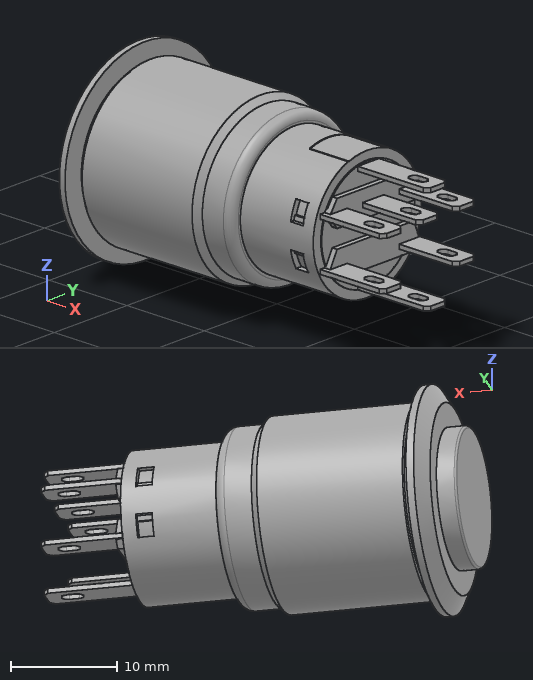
import cadquery as cq
import math

button_diameter = 13.6
button_fillet = 0.2
bezel_face_diameter = 18.3
bezel_diameter = 22.0
neck_diameter = 17.5
barrel_diameter = 18.9
rear_diameter = 14.9
base_disc_diameter = 12.8

bezel_face_x = 1.9
bezel_rim_x = 3.05
bezel_back_x = 3.8
barrel_front_x = 4.55
barrel_back_x = 18.7
neck_end_x = 23.1
rear_end_x = 32.5
neck_fillet = 1.0
barrel_taper = (barrel_diameter - neck_diameter) / 2
base_disc_thickness = 0.12

key_diameter = 14.75
key_front_x = 27.45
key_width = 5.15

window_front_x = 29.45
window_back_x = 31.05
window_top_z = 3.5
window_step_z = 1.9
window_bottom_z = 1.4
window_deep_diameter = 13.6
window_shallow_diameter = 14.0

bar_height = 0.75
bar_inner_z = 1.05
bar_outer_z = 4.08
bar_flat_min_y = -4.95
bar_flat_max_y = 5.57
bar_tip_min_y = -6.05
bar_tip_max_y = 6.45

overall_length = 41.6
contact_terminal_end_x = 40.6
terminal_width = 2.9
terminal_thickness = 0.5
terminal_chamfer = 0.5
terminal_root_depth = 0.4
slot_length = 2.12
slot_width = 1.15
slot_tip_gap = 1.45
lamp_terminal_z = 5.95
contact_pitch_y = 5.05
upper_contact_z = 2.45
lower_contact_z = -3.08


def x_cylinder(diameter, x_start, x_end):
    """Cylinder on the X axis between two stations."""
    return cq.Workplane("YZ", origin=(x_start, 0, 0)).circle(diameter / 2).extrude(x_end - x_start)


def x_box(x_start, x_end, y_min, y_max, z_min, z_max):
    """Box given by its limits on each axis."""
    size = (x_end - x_start, y_max - y_min, z_max - z_min)
    return cq.Workplane("XY", origin=(x_start, y_min, z_min)).box(*size, centered=False)


def turned_body():
    """Button, bezel, barrel and rear body as one revolved profile."""
    button_r = button_diameter / 2
    neck_r = neck_diameter / 2
    barrel_r = barrel_diameter / 2
    rear_r = rear_diameter / 2
    arc_mid = 1 - math.sqrt(0.5)
    profile = (
        cq.Workplane("XY")
        .moveTo(0, 0)
        .lineTo(0, button_r - button_fillet)
        .threePointArc(
            (button_fillet * arc_mid, button_r - button_fillet * arc_mid),
            (button_fillet, button_r),
        )
        .lineTo(bezel_face_x, button_r)
        .lineTo(bezel_face_x, bezel_face_diameter / 2)
        .lineTo(bezel_rim_x, bezel_diameter / 2)
        .lineTo(bezel_back_x, bezel_diameter / 2)
        .lineTo(bezel_back_x, neck_r)
        .lineTo(barrel_front_x, neck_r)
        .lineTo(barrel_front_x, barrel_r)
        .lineTo(barrel_back_x, barrel_r)
        .lineTo(barrel_back_x + barrel_taper, neck_r)
        .lineTo(neck_end_x - neck_fillet, neck_r)
        .threePointArc(
            (neck_end_x - neck_fillet * arc_mid, neck_r - neck_fillet * arc_mid),
            (neck_end_x, neck_r - neck_fillet),
        )
        .lineTo(neck_end_x, rear_r)
        .lineTo(rear_end_x, rear_r)
        .lineTo(rear_end_x, 0)
        .close()
    )
    body = profile.revolve(360, (0, 0, 0), (1, 0, 0))
    base_disc = x_cylinder(base_disc_diameter, rear_end_x, rear_end_x + base_disc_thickness)
    return body.union(base_disc)


def key_cutter():
    """Thin skin removed from the top of the rear body."""
    half_width = key_width / 2
    strip = x_box(key_front_x, rear_end_x, -half_width, half_width, 0, rear_diameter)
    return strip.cut(x_cylinder(key_diameter, key_front_x, rear_end_x))


def window_cutter():
    """Upper and lower stepped windows on both sides of the rear body."""
    levels = [
        (window_bottom_z, window_step_z, window_shallow_diameter),
        (window_step_z, window_top_z, window_deep_diameter),
    ]
    cutter = cq.Workplane("XY")
    for z_min, z_max, floor_diameter in levels:
        core = x_cylinder(floor_diameter, window_front_x, window_back_x)
        for low, high in [(z_min, z_max), (-z_max, -z_min)]:
            slab = x_box(window_front_x, window_back_x, -rear_diameter, rear_diameter, low, high)
            cutter = cutter.union(slab.cut(core))
    return cutter


def support_bar(z_min, z_max, tip_z):
    """Bar on the rear face whose two ends come to a point at tip_z."""
    outline = [
        (bar_flat_min_y, z_max),
        (bar_flat_max_y, z_max),
        (bar_tip_max_y, tip_z),
        (bar_flat_max_y, z_min),
        (bar_flat_min_y, z_min),
        (bar_tip_min_y, tip_z),
    ]
    return cq.Workplane("YZ", origin=(rear_end_x, 0, 0)).polyline(outline).close().extrude(bar_height)


def terminal(y, z, tip_x):
    """Flat blade with a chamfered tip and a rounded slot."""
    root_x = rear_end_x - terminal_root_depth
    blade = (
        cq.Workplane("XY", origin=((root_x + tip_x) / 2, y, z))
        .box(tip_x - root_x, terminal_width, terminal_thickness)
        .edges("|Z and >X")
        .chamfer(terminal_chamfer)
    )
    slot = (
        cq.Workplane("XY", origin=(tip_x - slot_tip_gap - slot_length / 2, y, z))
        .slot2D(slot_length, slot_width)
        .extrude(terminal_thickness, both=True)
    )
    return blade.cut(slot)


result = turned_body().cut(key_cutter()).cut(window_cutter())

result = result.union(support_bar(bar_inner_z, bar_outer_z, upper_contact_z))
result = result.union(support_bar(-bar_outer_z, -bar_inner_z, lower_contact_z))

for lamp_z in (-lamp_terminal_z, lamp_terminal_z):
    result = result.union(terminal(0, lamp_z, overall_length))
for contact_y in (-contact_pitch_y, 0, contact_pitch_y):
    result = result.union(terminal(contact_y, upper_contact_z, contact_terminal_end_x))
for contact_y in (-contact_pitch_y, contact_pitch_y):
    result = result.union(terminal(contact_y, lower_contact_z, contact_terminal_end_x))